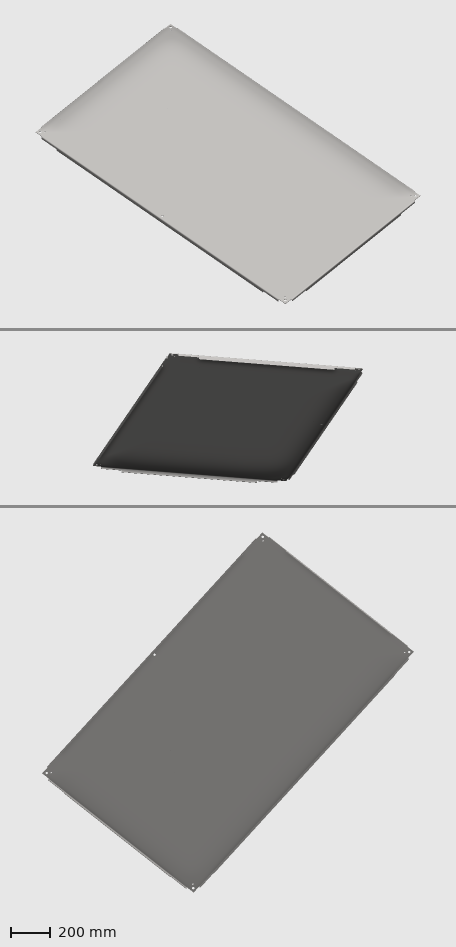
import cadquery as cq
import math

LENGTH_X = 1725.0
LENGTH_Y = 1011.0
HEIGHT = 22.0

SHEET = 3.0
BEND_OUTER_RADIUS = 2 * SHEET
BEND_INNER_RADIUS = BEND_OUTER_RADIUS - SHEET

FLANGE_END_GAP = 50.0
SKIRT_END_GAP = 155.0
SHOULDER_DEPTH = 13.0

FIXING_DIAMETER = 12.8
FIXING_INSET = 22.0
FRONT_HOLE_INSET = 20.0
PILOT_DIAMETER = 7.0
PILOT_INSET = 38.0


def make_sheet():
    """Flat panel that ends where the bends begin, with its top face at Z = 0."""
    size_x = LENGTH_X - 2 * BEND_OUTER_RADIUS
    size_y = LENGTH_Y - 2 * BEND_OUTER_RADIUS
    return cq.Workplane("XY").rect(size_x, size_y).extrude(-SHEET)


def make_folded_strip(width, depth, edge):
    """Strip of bend and flange, centred on Y = 0, whose outer face lies at X = edge."""
    bend_start = edge - BEND_OUTER_RADIUS
    diagonal = math.sqrt(0.5)
    outer_mid = (
        bend_start + BEND_OUTER_RADIUS * diagonal,
        -BEND_OUTER_RADIUS + BEND_OUTER_RADIUS * diagonal,
    )
    inner_mid = (
        bend_start + BEND_INNER_RADIUS * diagonal,
        -BEND_OUTER_RADIUS + BEND_INNER_RADIUS * diagonal,
    )
    return (
        cq.Workplane("XZ")
        .moveTo(bend_start, 0)
        .threePointArc(outer_mid, (edge, -BEND_OUTER_RADIUS))
        .lineTo(edge, -depth)
        .lineTo(edge - SHEET, -depth)
        .lineTo(edge - SHEET, -BEND_OUTER_RADIUS)
        .threePointArc(inner_mid, (bend_start, -SHEET))
        .close()
        .extrude(width / 2, both=True)
    )


def make_flange(side_length, edge):
    """Flange with shallow ends and a deeper skirt along its middle."""
    shoulders = make_folded_strip(side_length - 2 * FLANGE_END_GAP, SHOULDER_DEPTH, edge)
    skirt = make_folded_strip(side_length - 2 * SKIRT_END_GAP, HEIGHT, edge)
    return shoulders.union(skirt)


def make_holes(diameter, points):
    """Cutters that pass through the sheet at the given points."""
    return cq.Workplane("XY").pushPoints(points).circle(diameter / 2).extrude(-HEIGHT)


def corner_points(inset):
    """The four points set in from the overall corners by the same distance along X and Y."""
    x = LENGTH_X / 2 - inset
    y = LENGTH_Y / 2 - inset
    return [(x, y), (-x, y), (-x, -y), (x, -y)]


panel = make_sheet()
for quarter_turn in range(4):
    if quarter_turn % 2 == 0:
        flange = make_flange(LENGTH_Y, LENGTH_X / 2)
    else:
        flange = make_flange(LENGTH_X, LENGTH_Y / 2)
    panel = panel.union(flange.rotate((0, 0, 0), (0, 0, 1), 90 * quarter_turn))

front_point = (0, FRONT_HOLE_INSET - LENGTH_Y / 2)
fixing_holes = make_holes(FIXING_DIAMETER, corner_points(FIXING_INSET) + [front_point])
pilot_holes = make_holes(PILOT_DIAMETER, corner_points(PILOT_INSET))

result = panel.cut(fixing_holes).cut(pilot_holes)